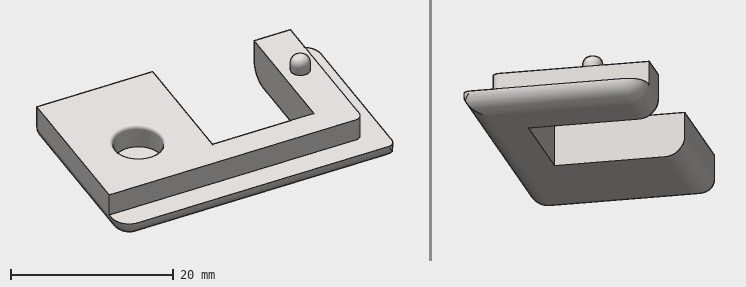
import cadquery as cq

width = 23.0
length = 38.0
plate_height = 2.5
edge_radius = plate_height
small_corner_radius = 1.0

ledge_width = 3.0
body_width = width - ledge_width
body_length = length - ledge_width
body_height = 3.1
body_top = plate_height + body_height

notch_depth = 16.5
notch_start = 16.0
notch_end = 30.0

pin_x = 7.75
pin_y = 32.5
pin_radius = 1.25
pin_height = 2.1
pin_rounding = 1.03

hole_x = 12.0
hole_y = 8.0
hole_radius = 3.1
hole_rounding = 0.5


def rounded_bar(plane, span, extrusion):
    """Bar with a flat top and two quarter-round lower edges."""
    return (
        cq.Workplane(plane)
        .moveTo(0, plate_height)
        .radiusArc((edge_radius, 0), -edge_radius)
        .lineTo(span - edge_radius, 0)
        .radiusArc((span, plate_height), -edge_radius)
        .close()
        .extrude(extrusion)
    )


def corner_rounded_block(block_width, block_length, height):
    """Block with its upper right vertical edge rounded."""
    block = cq.Workplane("XY").box(block_width, block_length, height, centered=False)
    return block.edges("|Z and >X and >Y").fillet(small_corner_radius)


def round_corner(plate, center_x, center_y, turn):
    """Replace a mitred plate corner with a spherical one, turned about Z from the lower right corner."""
    center = (center_x, center_y, 0)
    square = cq.Workplane("XY").rect(edge_radius, edge_radius).extrude(plate_height)
    square = square.translate((edge_radius / 2, -edge_radius / 2, 0))
    quarter_ball = (
        cq.Workplane("XZ")
        .lineTo(0, plate_height)
        .lineTo(edge_radius, plate_height)
        .radiusArc((0, 0), edge_radius)
        .close()
        .revolve(90, (0, 0, 0), (0, -1, 0))
    )

    def place(piece):
        return piece.rotate((0, 0, 0), (0, 0, 1), turn).translate(center)

    return plate.cut(place(square)).union(place(quarter_ball))


plate = rounded_bar("XZ", width, -length).intersect(rounded_bar("YZ", length, width))
plate = plate.intersect(corner_rounded_block(width, length, plate_height))
plate = round_corner(plate, edge_radius, length - edge_radius, 180)
plate = round_corner(plate, width - edge_radius, edge_radius, 0)

body = corner_rounded_block(body_width, body_length, body_height).translate((0, 0, plate_height))

body = body.cut(
    cq.Workplane("XY", origin=(hole_x, hole_y, plate_height)).circle(hole_radius).extrude(body_height)
)
body = body.faces(">Z").edges("%CIRCLE").edges(
    cq.selectors.RadiusNthSelector(-1)
).fillet(hole_rounding)

notch = cq.Workplane("XY").box(notch_depth, notch_end - notch_start, body_top, centered=False)
notch = notch.translate((0, notch_start, 0))

pin = cq.Workplane("XY", origin=(pin_x, pin_y, body_top)).circle(pin_radius).extrude(pin_height)
pin = pin.faces(">Z").edges().fillet(pin_rounding)

result = plate.union(body).cut(notch).union(pin)